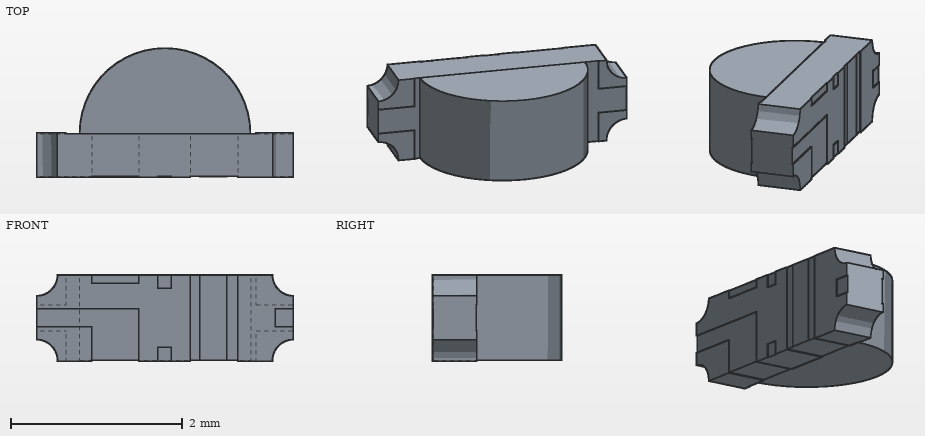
import cadquery as cq

length = 3.0
core_depth = 0.5
core_height = 1.0
plating = 0.01
cove_radius = 0.243
lens_radius = 1.0

front_face = -plating
back_face = core_depth + plating
underside = -plating
plated_depth = back_face - front_face
mid_height = core_height / 2

left_gap = (0.642, 1.19)
right_gap = (1.797, 2.35)
back_gap = (0.342, 2.562)

band = (1.908, 2.223)
band_thickness = 0.003

split_height = 0.207
upper_notch_depth = 0.095
end_notch_length = 0.21
key_centre = 1.495
key_width = 0.155
key_height = 0.153
back_notch_height = 0.3


def block(x_range, y_range, z_range):
    """Box that spans the given X, Y and Z ranges."""
    x0, x1 = x_range
    y0, y1 = y_range
    z0, z1 = z_range
    return cq.Workplane("XY").box(x1 - x0, y1 - y0, z1 - z0, centered=False).translate((x0, y0, z0))


def front_recess(x_range, z_range):
    """Cutter that strips the plating from one area of the front face."""
    return block(x_range, (front_face, 0), z_range)


def coved_blank():
    """Bar with its outer plated size and a cove along each corner of the ends."""
    bar = block((0, length), (front_face, back_face), (underside, core_height))
    coves = (
        cq.Workplane("XZ", origin=(0, back_face, 0))
        .pushPoints([(x, z) for x in (0, length) for z in (0, core_height)])
        .circle(cove_radius)
        .extrude(plated_depth)
    )
    bar = bar.cut(coves)

    for x_range in ((0, cove_radius), (length - cove_radius, length)):
        bar = bar.cut(block(x_range, (front_face, back_face), (underside, 0)))
    return bar


def make_base():
    """Plated bar with the bare gaps and notches cut through its plating."""
    base = coved_blank()
    split = (mid_height - split_height / 2, mid_height + split_height / 2)
    back_notch = (mid_height - back_notch_height / 2, mid_height + back_notch_height / 2)
    full_depth = (front_face, back_face)
    full_height = (underside, core_height)

    for gap in (left_gap, right_gap):
        base = base.cut(block(gap, full_depth, (underside, 0)))

    base = base.cut(front_recess((0, left_gap[1]), split))
    base = base.cut(front_recess(left_gap, (underside, split[1])))
    base = base.cut(front_recess(left_gap, (core_height - upper_notch_depth, core_height)))

    base = base.cut(front_recess(right_gap, full_height))

    base = base.union(block(band, (-band_thickness, 0), (0, core_height)))

    key_x = (key_centre - key_width / 2, key_centre + key_width / 2)
    for key_z in ((underside, key_height), (core_height - key_height, core_height)):
        base = base.cut(front_recess(key_x, key_z))

    base = base.cut(front_recess((length - end_notch_length, length), split))

    base = base.cut(block(back_gap, (core_depth, back_face), full_height))
    base = base.cut(block((0, length), (core_depth, back_face), back_notch))
    return base


def make_lens():
    """Half-disc lens that sits on the bare back face."""
    centre_x = length / 2
    return (
        cq.Workplane("XY")
        .moveTo(centre_x - lens_radius, core_depth)
        .threePointArc((centre_x, core_depth + lens_radius), (centre_x + lens_radius, core_depth))
        .close()
        .extrude(core_height)
    )


base = make_base()
lens = make_lens()
result = cq.Compound.makeCompound([base.val(), lens.val()])